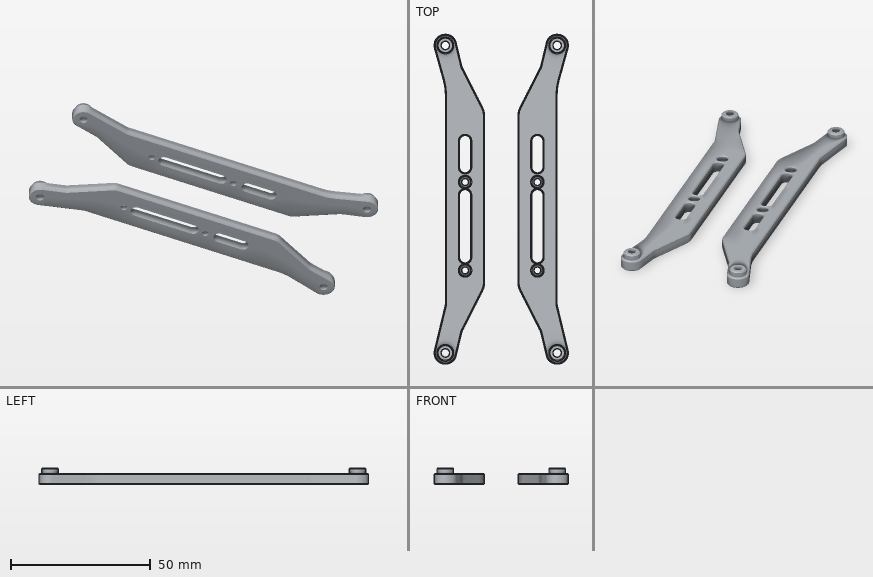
import cadquery as cq
import math

length = 118.0
overall_width = 48.0
overall_height = 6.0

thickness = 4.0
end_radius = 4.0
bevel = 0.4
end_y = length / 2 - end_radius
outer_edge_x = end_radius - overall_width / 2
inner_edge_x = -6.0

shoulder_y = 31.5
slope_run = 8.0
slope_rise = 15.8
rear_bend_y = 40.0
front_bend_y = 37.9
rear_bend_radius = 20.0
small_bend_radius = 5.0

boss_diameter = 6.0
boss_hole_diameter = 3.0

centre_offset = 7.1
centre_x = outer_edge_x + centre_offset
screw_hole_diameter = 2.4
counterbore_diameter = 4.0
counterbore_depth = 2.0
screw_hole_ys = (6.1, -25.5)
slot_width = 4.0
slot_arc_centres = ((11.5, 20.8), (-20.8, 1.4))


def tangent_point(x, y, side):
    """Point where a line from (x, y) touches the +Y end circle; side is -1 outer, +1 inner."""
    dx = x - outer_edge_x
    dy = y - end_y
    angle = math.atan2(dy, dx) + side * math.acos(end_radius / math.hypot(dx, dy))
    return (outer_edge_x + end_radius * math.cos(angle), end_y + end_radius * math.sin(angle))


def round_bend(body, x, y, radius):
    """Round the upright edge at (x, y)."""
    corner = cq.selectors.NearestToPointSelector((x, y, thickness / 2))
    return body.edges(corner).fillet(radius)


def half_plate(bend_y, bend_radius):
    """Left bar from its middle to the rounded +Y end."""
    neck_x = inner_edge_x - slope_run
    neck_y = shoulder_y + slope_rise
    half = (
        cq.Workplane("XY")
        .moveTo(outer_edge_x, 0)
        .lineTo(outer_edge_x, bend_y)
        .lineTo(*tangent_point(outer_edge_x, bend_y, -1))
        .threePointArc((outer_edge_x, end_y + end_radius), tangent_point(neck_x, neck_y, 1))
        .lineTo(neck_x, neck_y)
        .lineTo(inner_edge_x, shoulder_y)
        .lineTo(inner_edge_x, 0)
        .close()
        .extrude(thickness)
    )
    half = round_bend(half, outer_edge_x, bend_y, bend_radius)
    half = round_bend(half, neck_x, neck_y, small_bend_radius)
    return round_bend(half, inner_edge_x, shoulder_y, small_bend_radius)


def bar_plate():
    rear = half_plate(rear_bend_y, rear_bend_radius)
    front = half_plate(front_bend_y, small_bend_radius).mirror("XZ")
    plate = rear.union(front).clean()
    return plate.faces("<Z or >Z").chamfer(bevel)


def boss(y):
    return (
        cq.Workplane("XY", origin=(outer_edge_x, y, thickness))
        .circle(boss_diameter / 2)
        .extrude(overall_height - thickness)
        .faces(">Z")
        .chamfer(bevel)
    )


def boss_hole(y):
    return (
        cq.Workplane("XY", origin=(outer_edge_x, y, 0))
        .circle(boss_hole_diameter / 2)
        .extrude(overall_height)
    )


def screw_hole(y):
    """Through hole with a counterbore whose rim is chamfered."""
    top = cq.Workplane("XY", origin=(centre_x, y, thickness))
    hole = top.circle(screw_hole_diameter / 2).extrude(-thickness)
    counterbore = top.circle(counterbore_diameter / 2).extrude(-counterbore_depth)
    rim = top.circle(counterbore_diameter / 2 + bevel).extrude(-bevel, taper=45)
    return hole.union(counterbore).union(rim)


def slot(lower_y, upper_y):
    """Through slot whose top rim is chamfered."""
    top = cq.Workplane("XY", origin=(centre_x, (lower_y + upper_y) / 2, thickness))
    spacing = upper_y - lower_y
    rim_width = slot_width + 2 * bevel
    opening = top.slot2D(spacing + slot_width, slot_width, 90).extrude(-thickness)
    rim = top.slot2D(spacing + rim_width, rim_width, 90).extrude(-bevel, taper=45)
    return opening.union(rim)


def bar():
    """Left bar; its outer side faces -X."""
    body = bar_plate()
    for y in (end_y, -end_y):
        body = body.union(boss(y)).cut(boss_hole(y))
    for y in screw_hole_ys:
        body = body.cut(screw_hole(y))
    for lower_y, upper_y in slot_arc_centres:
        body = body.cut(slot(lower_y, upper_y))
    return body


left_bar = bar()
right_bar = left_bar.mirror("YZ")

result = cq.Compound.makeCompound([left_bar.val(), right_bar.val()])